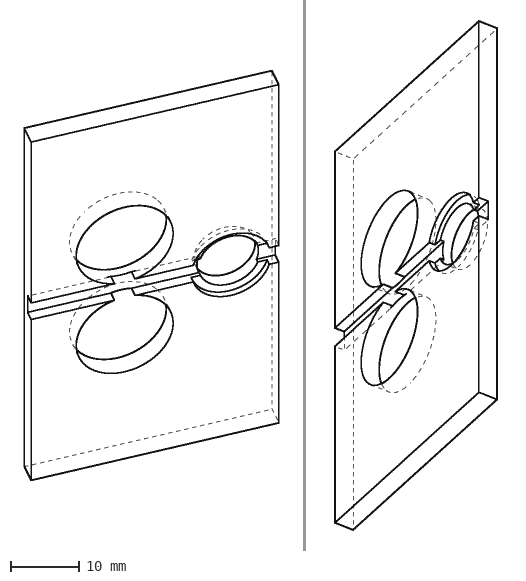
import cadquery as cq

thickness = 3.2
width = 38.4
height = 68

large_diameter = 15.0
large_y = -4.7
large_spacing = 18.0
small_diameter = 9.5
small_y = 11.8

counterbore_diameter = 12.25
counterbore_depth = 1.0

groove_width = 3.3
groove_depth = 1.6


def hole_cutter(diameter, y, z):
    """Cylinder along X that passes through the plate."""
    return (
        cq.Workplane("YZ", origin=(-thickness, 0, 0))
        .center(y, z)
        .circle(diameter / 2)
        .extrude(2 * thickness)
    )


plate = cq.Workplane("XY").box(thickness, width, height)

for z in (-large_spacing / 2, large_spacing / 2):
    plate = plate.cut(hole_cutter(large_diameter, large_y, z))
plate = plate.cut(hole_cutter(small_diameter, small_y, 0))

counterbore = (
    cq.Workplane("YZ", origin=(thickness / 2 - counterbore_depth, 0, 0))
    .center(small_y, 0)
    .circle(counterbore_diameter / 2)
    .extrude(counterbore_depth)
)
plate = plate.cut(counterbore)

groove = (
    cq.Workplane("XY")
    .box(groove_depth, width, groove_width)
    .translate((thickness / 2 - groove_depth / 2, 0, 0))
)

result = plate.cut(groove)